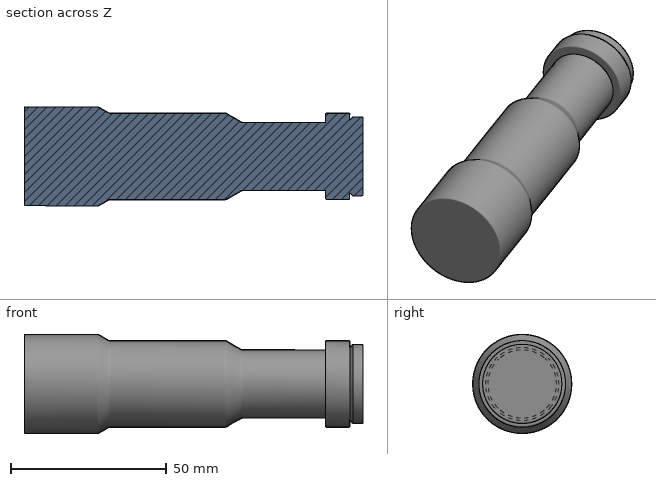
import cadquery as cq
import math

total_length = 109.1
head_length = 23.8
body_end = 64.9
flange_start = 97.0
flange_end = 104.8
tip_start = 105.8

head_radius = 15.98
body_radius = 14.0
neck_radius = 11.0
tip_radius = 12.8

cone_angle = math.radians(30)
head_edge_round = 0.3
head_cone_round = 0.5
cone_blend_radius = 1.2
flange_edge_round = 0.4
tip_back_chamfer = tip_start - flange_end
tip_edge_round = 0.4

start_x = -total_length / 2


def cone_length(large_radius, small_radius):
    """Axial length of a cone joining two cylinders."""
    return (large_radius - small_radius) / math.tan(cone_angle)


def round_circle(solid, x, radius, rounding):
    """Round the circular edge of the given radius at distance x from the head face."""
    margin = 0.02
    corner_low = (start_x + x - margin, -radius - margin, -radius - margin)
    corner_high = (start_x + x + margin, radius + margin, radius + margin)
    edges_at_x = solid.edges(cq.selectors.BoxSelector(corner_low, corner_high, boundingbox=True))
    outer_circle = edges_at_x.edges("%CIRCLE").edges(cq.selectors.RadiusNthSelector(-1))
    return outer_circle.fillet(rounding)


body_start = head_length + cone_length(head_radius, body_radius)
neck_start = body_end + cone_length(body_radius, neck_radius)

section = [
    (0, 0),
    (0, head_radius),
    (head_length, head_radius),
    (body_start, body_radius),
    (body_end, body_radius),
    (neck_start, neck_radius),
    (flange_start, neck_radius),
    (flange_start, body_radius),
    (flange_end, body_radius),
    (flange_end, tip_radius - tip_back_chamfer),
    (tip_start, tip_radius),
    (total_length, tip_radius),
    (total_length, 0),
]
result = (
    cq.Workplane("XY", origin=(start_x, 0, 0))
    .polyline(section)
    .close()
    .revolve(360, (0, 0, 0), (1, 0, 0))
)

roundings = [
    (head_length, head_radius, head_cone_round),
    (body_start, body_radius, cone_blend_radius),
    (body_end, body_radius, cone_blend_radius),
    (neck_start, neck_radius, cone_blend_radius),
    (flange_start, body_radius, flange_edge_round),
    (flange_end, body_radius, flange_edge_round),
    (total_length, tip_radius, tip_edge_round),
    (0, head_radius, head_edge_round),
]
for x, radius, rounding in roundings:
    result = round_circle(result, x, radius, rounding)